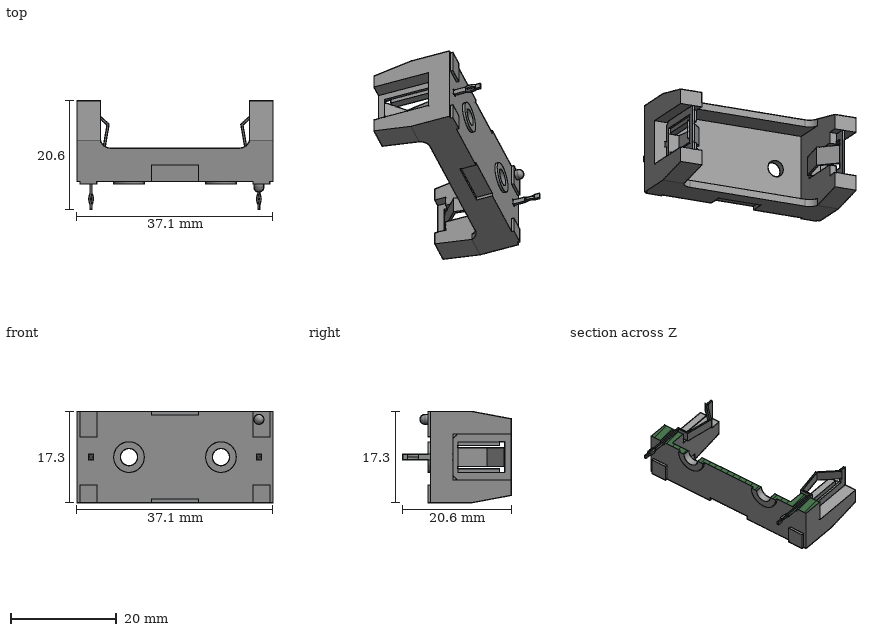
import cadquery as cq
import math


length = 37.13
width = 17.32
arm_top = 15.3
arm_thickness = 4.48
half_length = length / 2
half_width = width / 2
arm_inner_x = half_length - arm_thickness
taper_start_y = 7.8
taper_inset = 1.4
wall_top = 6.35
saddle_radius = 2.0

side_wall = 1.4
floor_thickness = 1.0

sheet = 0.42
plate_depth = 2.48
plate_half_width = 4.34
plate_bottom = 4.25
plate_chamfer = 0.84
window_half_width = 2.89
window_bottom = 5.2
window_top = 14.04

tongue_half_width = 1.79
tongue_bend_depth = 6.13
tongue_bend_y = 10.83
tongue_tip_y = 13.92
lower_lean = 0.173
upper_lean = -1.08

pin_width = 1.08
pin_tip = -5.27
bow_start = -2.26
bow_end = -4.32
bow_offset = 0.24
pin_depth = plate_depth + sheet / 2
pin_x = half_length - pin_depth

pocket_depth = 3.1
rail_top = 13.08
tongue_slot_half_width = 2.17
pin_slot_width = sheet + 2 * bow_offset

standoff = 0.47
pad_end_gap = 0.59
pad_length = 3.22
upper_pad_width = 4.83
lower_pad_width = 3.42
boss_x = 8.7
boss_diameter = 5.8
screw_hole_diameter = 3.2
peg_radius = 0.94
peg_shank_end = -1.06
peg_z = 7.13

recess_length = 8.9
recess_height = 3.18
recess_depth = 0.71


def box(x_range, y_range, z_range):
    """Box between two limits on each axis."""
    size = [high - low for low, high in (x_range, y_range, z_range)]
    corner = (x_range[0], y_range[0], z_range[0])
    return cq.Workplane("XY").box(*size, centered=False).translate(corner)


def symmetric(half):
    """Limits of a span centred on zero."""
    return (-half, half)


def both_ends(shape):
    """The shape together with its mirror image at the other end."""
    return shape.union(shape.mirror("YZ"))


def make_block():
    """U-shaped block with tapered arm tips and concave corners at the arm roots."""
    saddle_rise = taper_start_y - wall_top
    saddle_run = math.sqrt(saddle_radius**2 - (saddle_radius - saddle_rise) ** 2)
    side_outline = (
        cq.Workplane("XY")
        .moveTo(-half_length, 0)
        .lineTo(half_length, 0)
        .lineTo(half_length, arm_top)
        .lineTo(arm_inner_x, arm_top)
        .lineTo(arm_inner_x, taper_start_y)
        .radiusArc((arm_inner_x - saddle_run, wall_top), saddle_radius)
        .lineTo(-arm_inner_x + saddle_run, wall_top)
        .radiusArc((-arm_inner_x, taper_start_y), saddle_radius)
        .lineTo(-arm_inner_x, arm_top)
        .lineTo(-half_length, arm_top)
        .close()
        .extrude(half_width, both=True)
    )
    tip_half_width = half_width - taper_inset
    end_outline = (
        cq.Workplane("YZ")
        .polyline([
            (0, -half_width),
            (taper_start_y, -half_width),
            (arm_top, -tip_half_width),
            (arm_top, tip_half_width),
            (taper_start_y, half_width),
            (0, half_width),
        ])
        .close()
        .extrude(half_length, both=True)
    )
    return side_outline.intersect(end_outline)


def make_battery_cavity():
    """Open space between the arms and the side walls, above the floor."""
    return box(
        symmetric(arm_inner_x),
        (floor_thickness, arm_top),
        symmetric(half_width - side_wall),
    )


def make_contact_openings():
    """Plate pocket, tongue slot, tip notch and pin slot in the -X arm."""
    pocket_end_x = -half_length + pocket_depth
    pocket = box((-half_length, pocket_end_x), (plate_bottom, arm_top), symmetric(plate_half_width))
    notch = box((pocket_end_x, -arm_inner_x), (rail_top, arm_top), symmetric(plate_half_width))
    tongue_slot = box(
        (pocket_end_x, -arm_inner_x),
        (plate_bottom, rail_top),
        symmetric(tongue_slot_half_width),
    )
    pin_slot = box(
        (-pin_x - pin_slot_width / 2, -pin_x + pin_slot_width / 2),
        (0, plate_bottom),
        symmetric(pin_width / 2),
    )
    return pocket.union(notch).union(tongue_slot).union(pin_slot)


def make_pads():
    """Standoff pads at the two corners of the -X end."""
    start_x = -half_length + pad_end_gap
    x_range = (start_x, start_x + pad_length)
    upper = box(x_range, (-standoff, 0), (half_width - upper_pad_width, half_width))
    lower = box(x_range, (-standoff, 0), (-half_width, -half_width + lower_pad_width))
    return upper.union(lower)


def make_floor_cylinders(diameter, top):
    """Upright cylinders at both screw positions, from the standoff face up to a height."""
    return (
        cq.Workplane("XZ", origin=(0, -standoff, 0))
        .pushPoints([(-boss_x, 0), (boss_x, 0)])
        .circle(diameter / 2)
        .extrude(-(top + standoff))
    )


def make_peg():
    """Round-nosed locating peg."""
    return (
        cq.Workplane("XY", origin=(pin_x, 0, peg_z))
        .lineTo(peg_radius, 0)
        .lineTo(peg_radius, peg_shank_end)
        .radiusArc((0, peg_shank_end - peg_radius), peg_radius)
        .close()
        .revolve(360, (0, 0), (0, 1))
    )


def make_side_recesses():
    """Shallow recesses at the base of both long sides."""
    x_range = symmetric(recess_length / 2)
    upper = box(x_range, (0, recess_height), (half_width - recess_depth, half_width))
    return upper.union(upper.mirror("XY"))


def make_housing():
    housing = make_block().cut(make_battery_cavity())
    housing = housing.cut(make_side_recesses())
    housing = housing.union(both_ends(make_pads()))
    housing = housing.union(make_floor_cylinders(boss_diameter, 0))
    housing = housing.cut(make_floor_cylinders(screw_hole_diameter, floor_thickness))
    housing = housing.union(make_peg())
    return housing.cut(both_ends(make_contact_openings()))


def make_plate():
    """Flat contact plate with chamfered lower corners and a window."""
    x_range = (-half_length + plate_depth, -half_length + plate_depth + sheet)
    plate = box(x_range, (plate_bottom, arm_top), symmetric(plate_half_width))
    plate = plate.faces("<Y").edges("|X").chamfer(plate_chamfer)
    window = box(x_range, (window_bottom, window_top), symmetric(window_half_width))
    return plate.cut(window)


def make_tongue():
    """Spring tongue: leaves the plate below the window, rises and bends back at the top."""
    lower_run = sheet * math.hypot(1, lower_lean)
    upper_run = sheet * math.hypot(1, upper_lean)
    bend_x = -half_length + tongue_bend_depth
    root_y = window_bottom - sheet
    root_x = bend_x - lower_lean * (tongue_bend_y - root_y)
    crook_x = bend_x - lower_lean * (tongue_bend_y - window_bottom) - lower_run
    tip_x = bend_x + upper_lean * (tongue_tip_y - tongue_bend_y)
    bend_drop = (upper_run - lower_run) / (lower_lean - upper_lean)
    inner_bend = (bend_x - lower_run - lower_lean * bend_drop, tongue_bend_y - bend_drop)
    plate_x = -half_length + plate_depth
    return (
        cq.Workplane("XY")
        .polyline([
            (plate_x, root_y),
            (root_x, root_y),
            (bend_x, tongue_bend_y),
            (tip_x, tongue_tip_y),
            (tip_x - upper_run, tongue_tip_y),
            inner_bend,
            (crook_x, window_bottom),
            (plate_x, window_bottom),
        ])
        .close()
        .extrude(tongue_half_width, both=True)
    )


def make_pin_half(bow_direction):
    """Half of the split pin, on +Z, bowed sideways along its press-fit zone."""
    left = -sheet / 2
    right = sheet / 2
    bow = bow_direction * bow_offset
    bow_middle = (bow_start + bow_end) / 2
    return (
        cq.Workplane("XY", origin=(-pin_x, 0, 0))
        .moveTo(left, plate_bottom)
        .lineTo(left, bow_start)
        .threePointArc((left + bow, bow_middle), (left, bow_end))
        .lineTo(left, pin_tip)
        .lineTo(right, pin_tip)
        .lineTo(right, bow_end)
        .threePointArc((right + bow, bow_middle), (right, bow_start))
        .lineTo(right, plate_bottom)
        .close()
        .extrude(pin_width / 2)
    )


def make_contact():
    """Contact of the -X end."""
    outward_half = make_pin_half(-1)
    inward_half = make_pin_half(1).translate((0, 0, -pin_width / 2))
    pin = outward_half.union(inward_half)
    return make_plate().union(make_tongue()).union(pin)


housing = make_housing()
left_contact = make_contact()
right_contact = left_contact.mirror("YZ")

bodies = [body.solids().val() for body in (housing, left_contact, right_contact)]
result = cq.Compound.makeCompound(bodies)